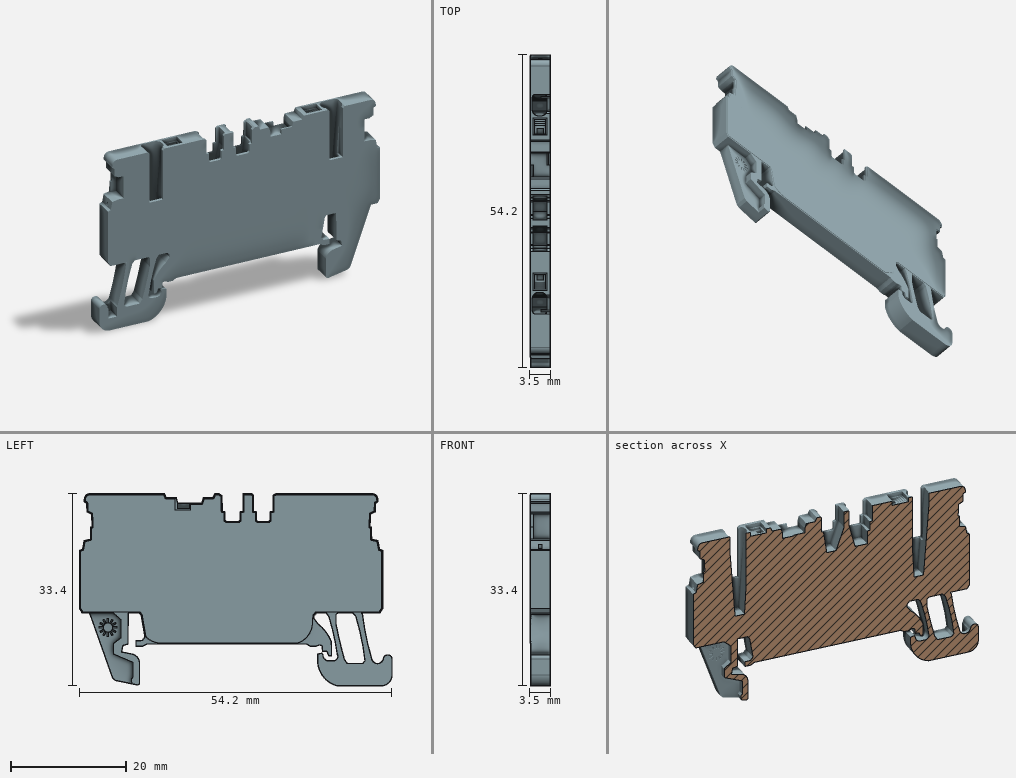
import cadquery as cq


width = 3.5
top = 33.35
half_length = 26.3
deck = 12.65
keel = 7.25
foot_end = -27.93

cover = 0.1
cover_inset = 0.2
side_wall = 0.5
inner_width = 2.45
far_wall = side_wall + inner_width
overshoot = 1.0

ledge = 32.65
marker_rim = 31.7
marker_floor = 30.75
slot_step = 30.3
slot_floor = 28.55
channel_floor = 26.0

entry_centre = 0.42
neck_low = 25.45
neck_high = 29.8
neck = 24.1


def extrude_outline(outline, x_start, x_end):
    return outline.extrude(x_end - x_start).translate((x_start, 0, 0))


def plate(points, x_start, x_end):
    """Extrude a closed (Y, Z) polygon from x_start to x_end."""
    return extrude_outline(cq.Workplane("YZ").polyline(points).close(), x_start, x_end)


def box(x_range, y_range, z_range):
    sizes = [max(r) - min(r) for r in (x_range, y_range, z_range)]
    corner = [min(r) for r in (x_range, y_range, z_range)]
    return cq.Workplane("XY").box(*sizes, centered=False).translate(tuple(corner))


def end_outline(side):
    """Outline of one housing end from the top downward; side is +1 for +Y and -1 for -Y."""
    points = [
        (25.45, 32.35),
        (25.5, 32.0),
        (25.04, 31.65),
        (25.0, 30.2),
        (neck + 0.1, neck_high),
        (neck, 27.6),
        (neck + 0.25, 27.55),
        (neck + 0.3, neck_low),
        (25.47, 25.2),
        (25.75, 23.7),
        (half_length, 23.5),
        (half_length, deck + 0.8),
        (half_length - 0.5, deck),
    ]
    return [(side * y, z) for y, z in points]


def top_outline():
    """Top edge from -Y to +Y: bridge slots, finger, marker recess and shoulders."""
    return [
        (-7.75, top),
        (-7.25, top - 0.3),
        (-7.25, slot_step),
        (-6.75, slot_step - 0.1),
        (-6.75, slot_floor + 0.2),
        (-6.55, slot_floor),
        (-4.6, slot_floor),
        (-4.4, slot_floor + 0.2),
        (-4.4, slot_step - 0.1),
        (-3.9, slot_step),
        (-3.9, top - 0.3),
        (-3.6, top),
        (-2.05, top),
        (-2.05, slot_step),
        (-1.55, slot_step - 0.1),
        (-1.55, slot_floor + 0.2),
        (-1.35, slot_floor),
        (0.8, slot_floor),
        (1.05, slot_floor + 0.2),
        (1.05, slot_step - 0.1),
        (1.5, slot_step),
        (1.55, top - 0.4),
        (2.1, top),
        (2.8, top),
        (3.15, ledge),
        (4.8, ledge),
        (5.1, marker_rim),
        (9.25, marker_rim),
        (9.5, ledge),
        (11.25, ledge),
        (11.55, top),
    ]


def housing_outline():
    plus_end = end_outline(1)
    minus_end = end_outline(-1)[::-1]
    corner = 24.4
    outline = cq.Workplane("YZ").polyline(top_outline()).lineTo(corner, top)
    outline = outline.threePointArc((25.25, 32.95), plus_end[0])
    for point in plus_end[1:]:
        outline = outline.lineTo(*point)
    outline = outline.lineTo(15.9, deck).lineTo(15.6, deck - 0.4).lineTo(14.95, 8.45)
    outline = outline.threePointArc((13.8, 7.6), (12.4, keel)).lineTo(-11.6, keel)
    outline = outline.threePointArc((-13.5, 8.6), (-14.3, 11.2))
    outline = outline.lineTo(-14.4, 12.2).lineTo(-14.8, deck)
    for point in minus_end:
        outline = outline.lineTo(*point)
    return outline.threePointArc((-25.25, 32.95), (-corner, top)).close()


def make_housing():
    core = extrude_outline(housing_outline(), cover, width)
    sheet = extrude_outline(housing_outline().offset2D(-cover_inset), 0, cover)
    return core.union(sheet)


def make_rail_hooks():
    """The two lips under the housing that rest on the rail."""
    plus_lip = [
        (12.4, keel),
        (14.6, keel),
        (15.4, keel - 0.4),
        (16.5, keel - 0.4),
        (16.5, 7.85),
        (15.4, 7.9),
        (14.9, 8.5),
        (12.4, 8.5),
    ]
    minus_lip = (
        cq.Workplane("YZ").moveTo(-11.6, keel).lineTo(-13.1, keel)
        .lineTo(-13.8, 6.85).lineTo(-14.65, 6.85).lineTo(-15.3, 7.1).lineTo(-15.75, 7.0)
        .lineTo(-15.85, 6.0).lineTo(-16.6, 6.0).lineTo(-16.95, 5.2).lineTo(-17.45, 5.2)
        .lineTo(-17.4, 7.7).threePointArc((-16.5, 9.3), (-15.1, 10.75))
        .lineTo(-14.3, 11.8).lineTo(-11.6, 11.8).close()
    )
    return plate(plus_lip, cover, width).union(extrude_outline(minus_lip, cover, width))


def make_spring_foot():
    """The sprung foot: two slanted spring arms carrying a hooked shoe."""
    root = deck + 0.3
    outline = (
        cq.Workplane("YZ").moveTo(-16.5, root).lineTo(-16.5, deck).lineTo(-16.95, 12.0)
        .threePointArc((-17.75, 9.0), (-18.4, 5.5))
        .threePointArc((-18.4, 4.75), (-17.8, 4.4)).lineTo(-16.7, 4.4)
        .threePointArc((-16.15, 4.75), (-15.95, 5.4)).lineTo(-15.75, 5.7)
        .lineTo(-15.0, 5.55).lineTo(-15.0, 4.0)
        .threePointArc((-16.25, 1.3), (-18.4, 0)).lineTo(-26.0, 0)
        .threePointArc((-27.36, 0.57), (foot_end, 1.93)).lineTo(foot_end, 4.7)
        .threePointArc((-27.1, 5.4), (-26.4, 4.8))
        .threePointArc((-25.3, 3.9), (-24.4, 4.7))
        .threePointArc((-23.4, 8.7), (-22.8, 12.4)).lineTo(-22.6, deck)
        .lineTo(-22.6, root).close()
    )
    window = (
        cq.Workplane("YZ").moveTo(-18.5, deck).lineTo(-18.2, 12.4).lineTo(-18.2, 10.75)
        .threePointArc((-18.75, 8.2), (-19.65, 4.65)).lineTo(-20.15, 3.9)
        .lineTo(-22.8, 3.9).lineTo(-23.2, 4.35)
        .threePointArc((-22.45, 8.9), (-21.6, 12.1)).lineTo(-21.1, deck).close()
    )
    pocket_x = (1.1, width)
    pocket_y = (-26.2, -24.6)
    pocket_z = (2.4, 5.0)
    tool_pocket = box(pocket_x, pocket_y, pocket_z)
    foot = extrude_outline(outline, cover, width)
    return foot.cut(extrude_outline(window, 0, width + overshoot)).cut(tool_pocket)


def make_fixed_leg():
    """The rigid leg: a full-width flange along the rail side and a thinner web behind it."""
    web_recess = 1.5
    root = deck + 0.3
    outline = (
        cq.Workplane("YZ").moveTo(24.8, root).lineTo(24.55, deck).lineTo(24.2, 11.7)
        .lineTo(20.55, 1.4).lineTo(20.05, 0.95).lineTo(16.15, 0.15).lineTo(15.85, 0.4)
        .lineTo(15.85, 4.1).threePointArc((16.3, 5.05), (17.4, 5.6))
        .lineTo(18.95, 5.9).lineTo(18.75, 7.0).lineTo(17.85, keel).lineTo(17.8, root).close()
    )
    web = [
        (20.4, deck),
        (19.1, 11.5),
        (19.1, 8.35),
        (20.4, 7.35),
        (20.4, 5.55),
        (17.0, 4.1),
        (17.0, 1.55),
        (17.3, 1.2),
        (17.1, 0),
        (half_length, 0),
        (half_length, deck),
    ]
    leg = extrude_outline(outline, cover, width)
    leg = leg.cut(plate(web, 0, web_recess))
    return leg.cut(make_dial_recess(web_recess))


def make_dial_recess(face):
    """Ring of radial notches sunk into the leg web."""
    dial_y = 21.35
    dial_z = 10.15
    inner_radius = 0.8
    outer_radius = 1.55
    notch_width = 0.25
    notch_depth = 0.15
    notch_count = 12
    middle_radius = (inner_radius + outer_radius) / 2
    notches = (
        cq.Workplane("YZ").center(dial_y, dial_z)
        .polarArray(middle_radius, 0, 360, notch_count)
        .rect(outer_radius - inner_radius, notch_width)
    )
    return extrude_outline(notches, face, face + notch_depth)


def make_finger_channel():
    """Channel of the slot between the marker side and the finger; both of its walls slope inward."""
    y_high = 1.85
    y_low = -2.35
    shoulder = 0.35
    high_slope = 1.0
    low_slope = 1.5
    profile = [
        (y_high, top),
        (y_high, slot_step),
        (y_high - shoulder, slot_step),
        (y_high - high_slope, channel_floor),
        (y_low + low_slope, channel_floor),
        (y_low, slot_step),
        (y_low, top),
    ]
    return plate(profile, side_wall, far_wall)


def make_outer_channel():
    """Channel of the slot on the -Y side of the finger; its -Y wall comes down in two steps."""
    y_high = -3.4
    y_low = -7.75
    slope = 1.1
    step = 0.5
    profile = [
        (y_high, top),
        (y_high, slot_step),
        (y_high - slope, channel_floor),
        (y_low + 2 * step, channel_floor),
        (y_low + 2 * step, slot_floor),
        (y_low + step, slot_floor),
        (y_low + step, slot_step),
        (y_low, slot_step),
        (y_low, top),
    ]
    return plate(profile, side_wall, far_wall)


def make_marker_recess():
    """Recess crossed by two low clips: one on the +X side, one on the -X side."""
    y_high = 9.25
    y_middle = 7.2
    y_low = 5.1
    clip_slope = 0.25
    notch_overrun = 0.5
    span = marker_rim - marker_floor + overshoot
    clip_side = [
        (far_wall, marker_floor),
        (far_wall + clip_slope, marker_rim),
        (far_wall + clip_slope, marker_floor + span),
        (-overshoot, marker_floor + span),
        (-overshoot, marker_floor),
    ]
    minus_half = [(width - x, z) for x, z in clip_side]
    outer = cq.Workplane("XZ").polyline(clip_side).close().extrude(y_high - y_middle)
    inner = cq.Workplane("XZ").polyline(minus_half).close().extrude(y_middle - y_low)
    recess = outer.translate((0, y_high, 0)).union(inner.translate((0, y_middle, 0)))
    notch_y = (y_middle - cover_inset, y_high + notch_overrun)
    cover_notch = box((0, cover), notch_y, (marker_floor - cover_inset, marker_floor + span))
    return recess.union(cover_notch)


def make_wire_entry(side):
    """Funnel for a wire, open through the +X wall by a shallower slot."""
    near = 15.3
    far = 19.05
    near_floor = 16.15
    far_floor = 17.85
    slot_near = 15.75
    lead_in = 0.35
    near_radius = 1.1
    far_radius = 0.6
    x_start = 0.35
    funnel_floor = top - 16.0
    slot_bottom = top - 10.0
    mouth = top + overshoot
    y_range = (entry_centre + side * near, entry_centre + side * far)

    funnel_profile = [(near, mouth), (near, top), (near_floor, funnel_floor),
                      (far_floor, funnel_floor), (far, top), (far, mouth)]
    slot_profile = [(slot_near, mouth), (slot_near, top), (slot_near + lead_in, top - lead_in),
                    (slot_near + lead_in, slot_bottom), (far - lead_in, slot_bottom),
                    (far - lead_in, top - lead_in), (far, top), (far, mouth)]

    def place(profile):
        return [(entry_centre + side * y, z) for y, z in profile]

    plan = box((x_start, far_wall), y_range, (funnel_floor, mouth))
    near_side, far_side = ("<Y", ">Y") if side > 0 else (">Y", "<Y")
    plan = plan.faces(near_side).edges("|Z").fillet(near_radius)
    plan = plan.faces(far_side).edges("|Z").fillet(far_radius)
    funnel = plate(place(funnel_profile), x_start, far_wall).intersect(plan)
    slot = plate(place(slot_profile), far_wall - near_radius, width + overshoot)
    return funnel.union(slot)


def make_test_opening(side):
    """Square release opening with a stepped outer half and a narrower well in the inner half."""
    near = 11.95
    far = 14.95
    frame = 0.25
    frame_depth = 0.8
    step_count = 4
    step_length = 0.35
    step_drop = 0.1
    well_margin = 0.4
    well_end = 13.15
    well_depth = 1.8

    def place(y):
        return entry_centre + side * y

    opening = box((side_wall, far_wall), (place(near), place(far)), (top - frame_depth, top))
    x_range = (side_wall + frame, far_wall - frame)
    for step in range(step_count):
        y_far = far - frame - step * step_length
        floor = top - frame_depth - (step + 1) * step_drop
        opening = opening.union(box(x_range, (place(near + frame), place(y_far)), (floor, top)))
    well_x = (x_range[0] + well_margin, x_range[1] - well_margin)
    well = box(well_x, (place(near + frame), place(well_end)), (top - well_depth, top))
    return opening.union(well)


def make_end_recess(side):
    """Neck set back behind the cover-side rib, and a small notch in the slope below it."""
    rib = 0.55
    setback = 0.8
    notch_x = (1.45, 2.05)
    notch_z = (23.8, 24.55)
    notch_depth = 0.4
    slope_foot = 25.75
    neck_cut = box((rib, width), (side * (neck - setback), side * half_length), (neck_low, neck_high))
    notch = box(notch_x, (side * (slope_foot - notch_depth), side * half_length), notch_z)
    return neck_cut.union(notch)


result = make_housing().union(make_rail_hooks()).union(make_spring_foot()).union(make_fixed_leg())
result = result.cut(make_marker_recess())
result = result.cut(make_finger_channel()).cut(make_outer_channel())
for end in (1, -1):
    result = result.cut(make_wire_entry(end))
    result = result.cut(make_test_opening(end))
    result = result.cut(make_end_recess(end))